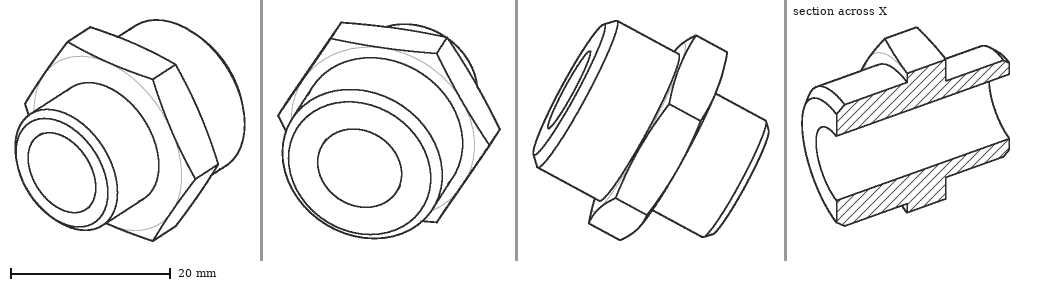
import cadquery as cq
import math

hex_sides = 6
across_flats = 24.0
hex_width = 5.5
hex_chamfer_angle = 15.0

small_diameter = 16.66
small_length = 9.0
small_chamfer = 0.86

large_diameter = 20.95
large_length = 10.0
large_chamfer = 1.16

bore_diameter = 11.0

across_corners = across_flats / math.cos(math.pi / hex_sides)
total_length = small_length + hex_width + large_length
corner_drop = (across_corners - across_flats) / 2 * math.tan(math.radians(hex_chamfer_angle))

hex_start = small_length
hex_end = small_length + hex_width


def plane_at(y):
    """Plane square to the axis at the given Y; its normal is -Y, so negative extrusions run to +Y."""
    return cq.Workplane("XZ", origin=(0, y, 0))


def small_spigot():
    """Narrow cylinder at the -Y end, chamfered on its free rim."""
    body = plane_at(0).circle(small_diameter / 2).extrude(-small_length)
    return body.faces("<Y").edges().chamfer(small_chamfer)


def large_spigot():
    """Wide cylinder at the +Y end, chamfered on its free rim."""
    body = plane_at(hex_end).circle(large_diameter / 2).extrude(-large_length)
    return body.faces(">Y").edges().chamfer(large_chamfer)


def hex_collar():
    """Hexagon with corners on the X axis, both ends turned to a shallow cone."""
    prism = plane_at(hex_start).polygon(hex_sides, across_corners).extrude(-hex_width)
    cone_envelope = (
        cq.Workplane("XY")
        .moveTo(0, hex_start)
        .lineTo(across_flats / 2, hex_start)
        .lineTo(across_corners / 2, hex_start + corner_drop)
        .lineTo(across_corners / 2, hex_end - corner_drop)
        .lineTo(across_flats / 2, hex_end)
        .lineTo(0, hex_end)
        .close()
        .revolve(360, (0, 0, 0), (0, 1, 0))
    )
    return prism.intersect(cone_envelope)


def bore():
    """Straight passage through the whole fitting."""
    return plane_at(0).circle(bore_diameter / 2).extrude(-total_length)


result = hex_collar().union(small_spigot()).union(large_spigot()).cut(bore())